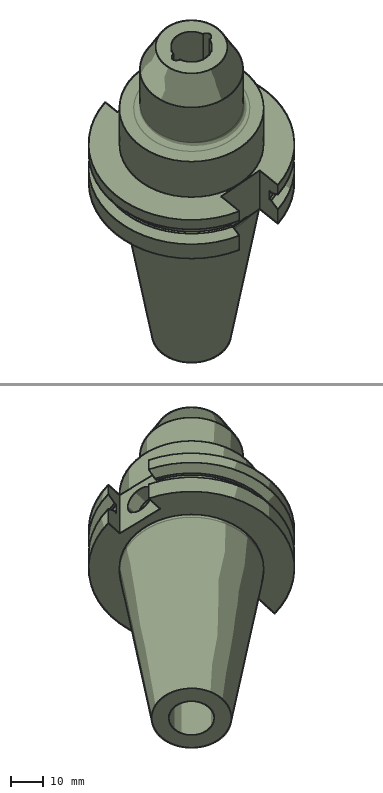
import cadquery as cq

total_height = 131.8
nose_height = total_height - 10.3
shoulder_height = total_height - 28.2
flange_top = total_height - 44.5
flange_bottom = total_height - 62.3
taper_height = total_height - 63.5

tip_radius = 11.1
neck_radius = 16.0
shoulder_radius = 22.3
flange_radius = 31.8
neck_fillet = 2.0

taper_ratio = 7 / 24
taper_end_radius = shoulder_radius - taper_height * taper_ratio / 2

groove_radius = 28.0
ledge_radius = 28.9
groove_center = total_height - 52.3
groove_floor_width = 3.5
groove_mouth_width = 6.9

slot_width = 16.1
left_slot_floor = 25.2
right_slot_floor = 22.4

pocket_radius = 4.9
pocket_depth = 5.0

bore_radius = 6.3
bore_depth = 50.0
channel_radius = 1.5
rear_bore_radius = 7.0


def make_body():
    """Revolved outside: taper, flange, shoulder, neck and nose."""
    outline = (
        cq.Workplane("XZ")
        .moveTo(0, 0)
        .lineTo(taper_end_radius, 0)
        .lineTo(shoulder_radius, taper_height)
        .lineTo(shoulder_radius, flange_bottom)
        .lineTo(flange_radius, flange_bottom)
        .lineTo(flange_radius, groove_center - groove_mouth_width / 2)
        .lineTo(ledge_radius, groove_center - groove_floor_width / 2)
        .lineTo(groove_radius, groove_center - groove_floor_width / 2)
        .lineTo(groove_radius, groove_center + groove_floor_width / 2)
        .lineTo(ledge_radius, groove_center + groove_floor_width / 2)
        .lineTo(flange_radius, groove_center + groove_mouth_width / 2)
        .lineTo(flange_radius, flange_top)
        .lineTo(shoulder_radius, flange_top)
        .lineTo(shoulder_radius, shoulder_height)
        .lineTo(neck_radius + neck_fillet, shoulder_height)
        .radiusArc((neck_radius, shoulder_height + neck_fillet), neck_fillet)
        .lineTo(neck_radius, nose_height)
        .lineTo(tip_radius, total_height)
        .lineTo(0, total_height)
        .close()
    )
    return outline.revolve(360, (0, 0, 0), (0, 1, 0))


def make_slot(side, floor_distance):
    """Drive slot through the flange height; side is -1 for -X and 1 for +X."""
    slot_depth = flange_radius - floor_distance
    return (
        cq.Workplane("XY")
        .workplane(offset=flange_bottom)
        .center(side * (floor_distance + slot_depth / 2), 0)
        .rect(slot_depth, slot_width)
        .extrude(flange_top - flange_bottom)
    )


def make_pocket():
    """Round blind hole running inward from the left slot floor."""
    return (
        cq.Workplane("YZ")
        .workplane(offset=-left_slot_floor)
        .center(0, groove_center)
        .circle(pocket_radius)
        .extrude(pocket_depth)
    )


def make_bore():
    """Tool bore with a channel on each Y side, opening into the rear bore."""
    mouth = cq.Workplane("XY").workplane(offset=total_height)
    tool_bore = mouth.circle(bore_radius).extrude(-bore_depth)
    channels = (
        mouth.pushPoints([(0, -bore_radius), (0, bore_radius)])
        .circle(channel_radius)
        .extrude(-bore_depth)
    )
    rear_bore = cq.Workplane("XY").circle(rear_bore_radius).extrude(total_height - bore_depth)
    return tool_bore.union(channels).union(rear_bore)


result = (
    make_body()
    .cut(make_slot(-1, left_slot_floor))
    .cut(make_slot(1, right_slot_floor))
    .cut(make_pocket())
    .cut(make_bore())
)